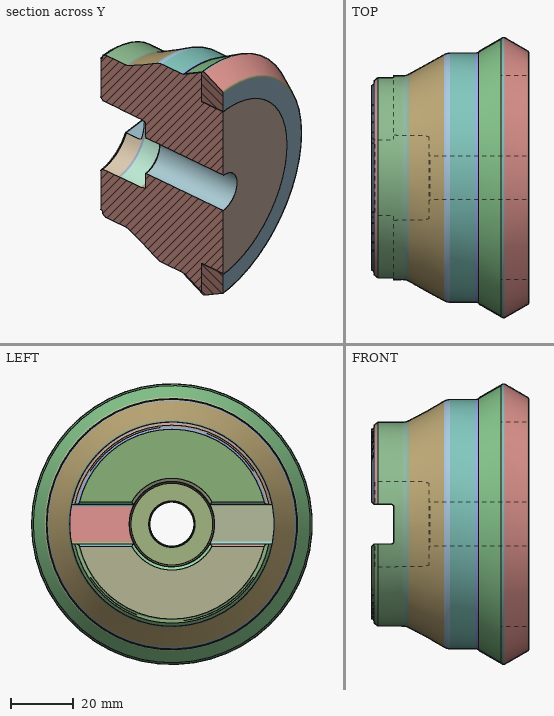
import cadquery as cq
import math


LENGTH = 50.0

NECK_RADIUS = 65.0 / 2
NECK_CHAMFER_LENGTH = 1.2
NECK_CHAMFER_DEPTH = 1.0
DRIVE_FACE_RADIUS = 30.2
DRIVE_FACE_STEP = 0.75

CONE_START = 11.0
CONE_END = 24.0
WAIST_RADIUS = 79.43 / 2
BLEND_RADIUS = 4.0
SHOULDER_START = 33.0
SHOULDER_BLEND_RADIUS = 2.2
SHOULDER_ANGLE = 30.0

SEAT_POSITION = 41.15
SPIGOT_RADIUS = NECK_RADIUS

RING_OUTER_RADIUS = 89.34 / 2
RING_WIDTH = 16.0
CORNER_RADIUS = 0.8
HALF_SIDE_ANGLE = 30

BORE_ENTRY_RADIUS = 27.2 / 2
BORE_RADIUS = 27.01 / 2
BORE_ENTRY_CHAMFER = 1.0
BORE_STEP_START = 7.4
BORE_STEP_LENGTH = 0.8
BORE_DEPTH = 18.2
BORE_FLOOR_TAPER_LENGTH = 1.7
BORE_FLOOR_TAPER_DEPTH = 0.5
HOLE_RADIUS = 14.0 / 2
HOLE_CHAMFER = 0.4

SLOT_WIDTH = 12.6
SLOT_DEPTH = 7.0
SLOT_EDGE_CHAMFER = 0.8
SLOT_FLOOR_FILLET = 0.8


def arc_point(center, radius, angle):
    """Point on a circle in the (X, radius) half plane, angle in degrees from +X."""
    turn = math.radians(angle)
    return (center[0] + radius * math.cos(turn), center[1] + radius * math.sin(turn))


def add_arc(profile, center, radius, start, end):
    """Line to the start angle of an arc, then follow the arc to its end angle."""
    profile = profile.lineTo(*arc_point(center, radius, start))
    middle = arc_point(center, radius, (start + end) / 2)
    return profile.threePointArc(middle, arc_point(center, radius, end))


def revolve_about_x(profile):
    return profile.close().revolve(360, (0, 0, 0), (1, 0, 0))


def make_hub_blank():
    """Outer shape of the hub as a solid of revolution, before the bore and slot are cut."""
    cone_angle = math.degrees(math.atan2(WAIST_RADIUS - NECK_RADIUS, CONE_END - CONE_START))
    half_blend = BLEND_RADIUS * math.tan(math.radians(cone_angle / 2))
    step_center = (0, DRIVE_FACE_RADIUS + DRIVE_FACE_STEP)
    neck_center = (CONE_START - half_blend, NECK_RADIUS + BLEND_RADIUS)
    waist_center = (CONE_END + half_blend, WAIST_RADIUS - BLEND_RADIUS)
    shoulder_center = (SHOULDER_START, WAIST_RADIUS + SHOULDER_BLEND_RADIUS)

    profile = cq.Workplane("XY").moveTo(0, 0)
    profile = add_arc(profile, step_center, DRIVE_FACE_STEP, -90, 0)
    profile = profile.lineTo(DRIVE_FACE_STEP, NECK_RADIUS - NECK_CHAMFER_DEPTH)
    profile = profile.lineTo(DRIVE_FACE_STEP + NECK_CHAMFER_LENGTH, NECK_RADIUS)
    profile = add_arc(profile, neck_center, BLEND_RADIUS, -90, cone_angle - 90)
    profile = add_arc(profile, waist_center, BLEND_RADIUS, 90 + cone_angle, 90)
    profile = add_arc(profile, shoulder_center, SHOULDER_BLEND_RADIUS, -90, SHOULDER_ANGLE - 90)
    cone_foot = arc_point(shoulder_center, SHOULDER_BLEND_RADIUS, SHOULDER_ANGLE - 90)
    cone_rise = (SEAT_POSITION - cone_foot[0]) * math.tan(math.radians(SHOULDER_ANGLE))
    profile = profile.lineTo(SEAT_POSITION, cone_foot[1] + cone_rise)
    profile = profile.lineTo(SEAT_POSITION, SPIGOT_RADIUS)
    profile = profile.lineTo(LENGTH, SPIGOT_RADIUS)
    profile = profile.lineTo(LENGTH, 0)
    return revolve_about_x(profile)


def ring_corner_distance():
    """Distance from the centre of the hexagon to its sharp corners."""
    return RING_WIDTH / 2 / math.cos(math.radians(HALF_SIDE_ANGLE))


def rounded_corner_distance():
    """Distance from the centre of the hexagon to the arc centres of its rounded corners."""
    return ring_corner_distance() - CORNER_RADIUS / math.cos(math.radians(HALF_SIDE_ANGLE))


def ring_center():
    """Centre of the hexagon, with one flat in the back face and its rounded tip on the outer radius."""
    return (LENGTH - RING_WIDTH / 2, RING_OUTER_RADIUS - CORNER_RADIUS - rounded_corner_distance())


def make_ring_blank():
    """Turned hexagon; its three outer corners are rounded, the three inner ones sharp."""
    center = ring_center()
    profile = cq.Workplane("XY").moveTo(*arc_point(center, ring_corner_distance(), 210))
    for corner_angle in (150, 90, 30):
        corner_center = arc_point(center, rounded_corner_distance(), corner_angle)
        arc_start = corner_angle + HALF_SIDE_ANGLE
        arc_end = corner_angle - HALF_SIDE_ANGLE
        profile = add_arc(profile, corner_center, CORNER_RADIUS, arc_start, arc_end)
    for corner_angle in (-30, -90):
        profile = profile.lineTo(*arc_point(center, ring_corner_distance(), corner_angle))
    return revolve_about_x(profile)


def make_bore_cutter():
    """Stepped arbor bore with the screw hole through its floor."""
    profile = (
        cq.Workplane("XY")
        .moveTo(0, 0)
        .lineTo(0, BORE_ENTRY_RADIUS + BORE_ENTRY_CHAMFER)
        .lineTo(BORE_ENTRY_CHAMFER, BORE_ENTRY_RADIUS)
        .lineTo(BORE_STEP_START, BORE_ENTRY_RADIUS)
        .lineTo(BORE_STEP_START + BORE_STEP_LENGTH, BORE_RADIUS)
        .lineTo(BORE_DEPTH - BORE_FLOOR_TAPER_LENGTH, BORE_RADIUS)
        .lineTo(BORE_DEPTH, BORE_RADIUS - BORE_FLOOR_TAPER_DEPTH)
        .lineTo(BORE_DEPTH, HOLE_RADIUS + HOLE_CHAMFER)
        .lineTo(BORE_DEPTH + HOLE_CHAMFER, HOLE_RADIUS)
        .lineTo(LENGTH, HOLE_RADIUS)
        .lineTo(LENGTH, 0)
    )
    return revolve_about_x(profile)


def make_slot_cutter():
    """Drive slot across the drive face, with chamfered mouth and filleted floor corners."""
    mouth = SLOT_WIDTH / 2 + SLOT_EDGE_CHAMFER
    half_run = NECK_RADIUS + BLEND_RADIUS
    slot = (
        cq.Workplane("XZ")
        .rect(2 * SLOT_DEPTH, SLOT_WIDTH)
        .extrude(half_run, both=True)
        .edges("|Y and >X")
        .fillet(SLOT_FLOOR_FILLET)
    )
    chamfers = (
        cq.Workplane("XZ")
        .moveTo(0, mouth)
        .lineTo(SLOT_EDGE_CHAMFER, SLOT_WIDTH / 2)
        .lineTo(SLOT_EDGE_CHAMFER, -SLOT_WIDTH / 2)
        .lineTo(0, -mouth)
        .close()
        .extrude(half_run, both=True)
    )
    return slot.union(chamfers)


hub_blank = make_hub_blank()
hub = hub_blank.cut(make_bore_cutter()).cut(make_slot_cutter())
cutting_ring = make_ring_blank().cut(hub_blank)

result = cq.Compound.makeCompound([hub.val(), cutting_ring.val()])